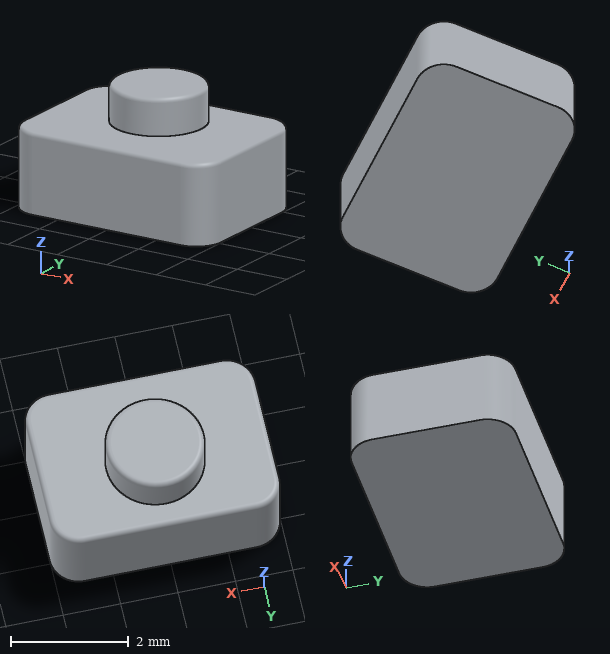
import cadquery as cq

housing_length = 4.0
housing_width = 2.9
housing_height = 1.5
corner_radius = 0.5

total_height = 2.2
button_diameter = 1.7
button_back_gap = 0.4
button_height = total_height - housing_height
button_offset_y = housing_width / 2 - button_back_gap - button_diameter / 2

rim_radius = 0.1


def make_housing():
    """Block with rounded vertical corners and a rounded top rim."""
    block = cq.Workplane("XY").box(
        housing_length, housing_width, housing_height, centered=(True, True, False)
    )
    return block.edges("|Z").fillet(corner_radius).faces(">Z").edges().fillet(rim_radius)


def make_button():
    """Cylindrical post with a rounded top rim."""
    post = (
        cq.Workplane("XY", origin=(0, button_offset_y, housing_height))
        .circle(button_diameter / 2)
        .extrude(button_height)
    )
    return post.faces(">Z").edges().fillet(rim_radius)


result = make_housing().union(make_button())